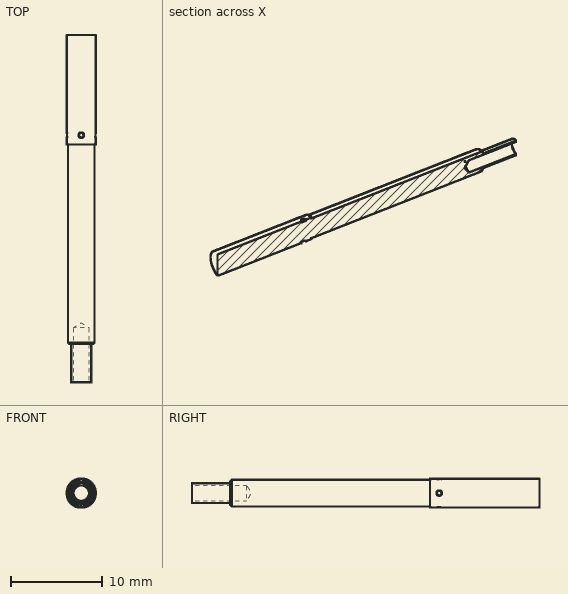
import cadquery as cq
import math

total_length = 38.1
collar_diameter = 3.2
collar_length = 12.0
collar_end_round = 0.12
body_diameter = 2.95
body_chamfer_length = 0.2
body_chamfer_depth = 0.25
tail_diameter = 2.2
tail_length = 4.18

bore_diameter = 1.7
bore_depth = 6.0
drill_point_angle = 118.0

dent_count = 4
dent_diameter = 0.6
dent_floor_diameter = 0.52
dent_depth = 0.15
dent_distance_from_end = 11.0


def make_sleeve():
    """Solid turned from the outer half profile (X is the radius, Y the axis)."""
    tail_radius = tail_diameter / 2
    body_radius = body_diameter / 2
    collar_radius = collar_diameter / 2
    collar_start = total_length - collar_length
    profile = (
        cq.Workplane("XY")
        .lineTo(tail_radius, 0)
        .lineTo(tail_radius, tail_length)
        .lineTo(body_radius - body_chamfer_depth, tail_length)
        .lineTo(body_radius, tail_length + body_chamfer_length)
        .lineTo(body_radius, collar_start)
        .lineTo(collar_radius, collar_start)
        .lineTo(collar_radius, total_length - collar_end_round)
        .radiusArc((collar_radius - collar_end_round, total_length), -collar_end_round)
        .lineTo(0, total_length)
        .close()
    )
    return profile.revolve(360, (0, 0, 0), (0, 1, 0))


def make_bore():
    """Cutter for the blind bore, with its conical bottom."""
    bore_radius = bore_diameter / 2
    point_length = bore_radius / math.tan(math.radians(drill_point_angle / 2))
    profile = (
        cq.Workplane("XY")
        .lineTo(bore_radius, 0)
        .lineTo(bore_radius, bore_depth)
        .lineTo(0, bore_depth + point_length)
        .close()
    )
    return profile.revolve(360, (0, 0, 0), (0, 1, 0))


def make_dents():
    """Slightly tapered, flat-bottomed round cutters spaced evenly around the collar."""
    floor_radius = collar_diameter / 2 - dent_depth
    dent_y = total_length - dent_distance_from_end
    dent = (
        cq.Workplane("XY", origin=(0, dent_y, floor_radius))
        .circle(dent_floor_diameter / 2)
        .workplane(offset=dent_depth)
        .circle(dent_diameter / 2)
        .loft()
    )
    dents = cq.Workplane("XY")
    for index in range(dent_count):
        turn = index * 360 / dent_count
        dents = dents.add(dent.rotate((0, 0, 0), (0, 1, 0), turn))
    return dents.combine()


result = make_sleeve().cut(make_bore()).cut(make_dents())